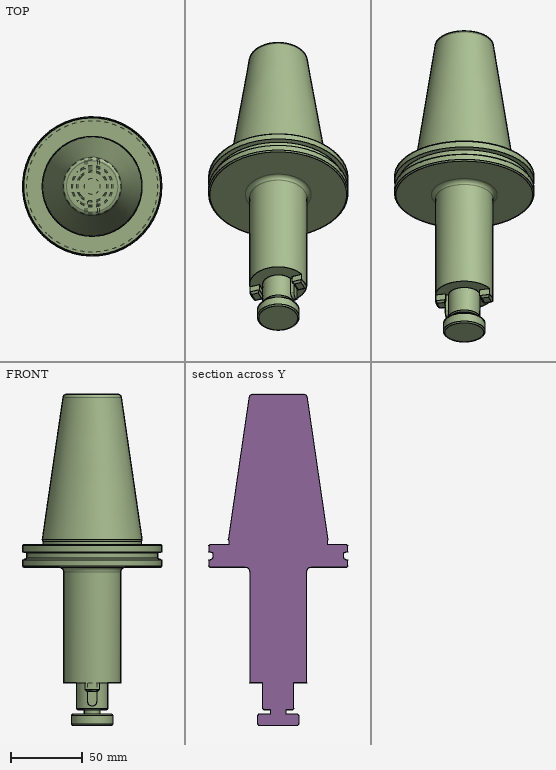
import cadquery as cq
import math

total_height = 231.8
gauge_z = 130.0
gauge_band = 1.2
flange_top_z = 126.8
groove_top_z = 121.5
groove_bottom_z = 115.6
flange_bottom_z = 110.5
shaft_end_z = 30.0
pilot_end_z = 11.0
screw_head_height = 8.0

gauge_radius = 35.0
taper_angle = math.atan(7 / 24 / 2)
taper_end_fillet = 2.5
collar_radius = 34.5

flange_radius = 97.5 / 2
flange_chamfer = 1.0
groove_radius = 46.0
groove_upper_flank_height = 0.7
groove_lower_flank_height = 1.5

shaft_radius = 20.05
shaft_fillet = 3.0
pilot_radius = 11.0
pilot_chamfer = 1.0
screw_neck_radius = 5.5
screw_head_radius = 14.5
screw_head_chamfer = 1.0

tongue_width = 10.0
tongue_length = 6.0
tongue_inner_y = 12.3
tongue_chamfer = 1.5
key_width = 6.5
key_bottom_z = 13.7
key_outer_y = 13.0


def make_turned_body():
    """Revolve the shank, flange, shaft, pilot and screw as one body."""
    fillet_start_z = total_height - taper_end_fillet * (1 - math.sin(taper_angle))
    fillet_start_radius = gauge_radius - (fillet_start_z - gauge_z) * math.tan(taper_angle)
    end_face_radius = fillet_start_radius - taper_end_fillet * math.cos(taper_angle)
    profile = (
        cq.Workplane("XZ")
        .moveTo(0, total_height)
        .lineTo(end_face_radius, total_height)
        .radiusArc((fillet_start_radius, fillet_start_z), taper_end_fillet)
        .lineTo(gauge_radius, gauge_z)
        .lineTo(collar_radius, gauge_z - gauge_band)
        .lineTo(collar_radius, flange_top_z)
        .lineTo(flange_radius - flange_chamfer, flange_top_z)
        .lineTo(flange_radius, flange_top_z - flange_chamfer)
        .lineTo(flange_radius, groove_top_z)
        .lineTo(groove_radius, groove_top_z - groove_upper_flank_height)
        .lineTo(groove_radius, groove_bottom_z + groove_lower_flank_height)
        .lineTo(flange_radius, groove_bottom_z)
        .lineTo(flange_radius, flange_bottom_z + flange_chamfer)
        .lineTo(flange_radius - flange_chamfer, flange_bottom_z)
        .lineTo(shaft_radius + shaft_fillet, flange_bottom_z)
        .radiusArc((shaft_radius, flange_bottom_z - shaft_fillet), -shaft_fillet)
        .lineTo(shaft_radius, shaft_end_z)
        .lineTo(pilot_radius, shaft_end_z)
        .lineTo(pilot_radius, pilot_end_z + pilot_chamfer)
        .lineTo(pilot_radius - pilot_chamfer, pilot_end_z)
        .lineTo(screw_neck_radius, pilot_end_z)
        .lineTo(screw_neck_radius, screw_head_height)
        .lineTo(screw_head_radius - screw_head_chamfer, screw_head_height)
        .lineTo(screw_head_radius, screw_head_height - screw_head_chamfer)
        .lineTo(screw_head_radius, screw_head_chamfer)
        .lineTo(screw_head_radius - screw_head_chamfer, 0)
        .lineTo(0, 0)
        .close()
    )
    return profile.revolve(360, (0, 0, 0), (0, 1, 0))


def make_tongue(side):
    """Drive tongue under the shaft, on the side given by the sign of Y."""
    radial_depth = shaft_radius - tongue_inner_y
    block = (
        cq.Workplane("XY", origin=(0, side * (tongue_inner_y + radial_depth / 2), shaft_end_z))
        .rect(tongue_width, radial_depth)
        .extrude(-tongue_length)
    )
    shaft_envelope = (
        cq.Workplane("XY", origin=(0, 0, shaft_end_z)).circle(shaft_radius).extrude(-tongue_length)
    )
    return block.intersect(shaft_envelope).faces("<Z").edges().chamfer(tongue_chamfer)


def make_key():
    """Round-ended key standing out of the pilot on the -Y side."""
    half_width = key_width / 2
    return (
        cq.Workplane("XZ")
        .moveTo(-half_width, shaft_end_z)
        .lineTo(-half_width, key_bottom_z + half_width)
        .threePointArc((0, key_bottom_z), (half_width, key_bottom_z + half_width))
        .lineTo(half_width, shaft_end_z)
        .close()
        .extrude(key_outer_y)
    )


result = make_turned_body().union(make_key())
for side in (-1, 1):
    result = result.union(make_tongue(side))